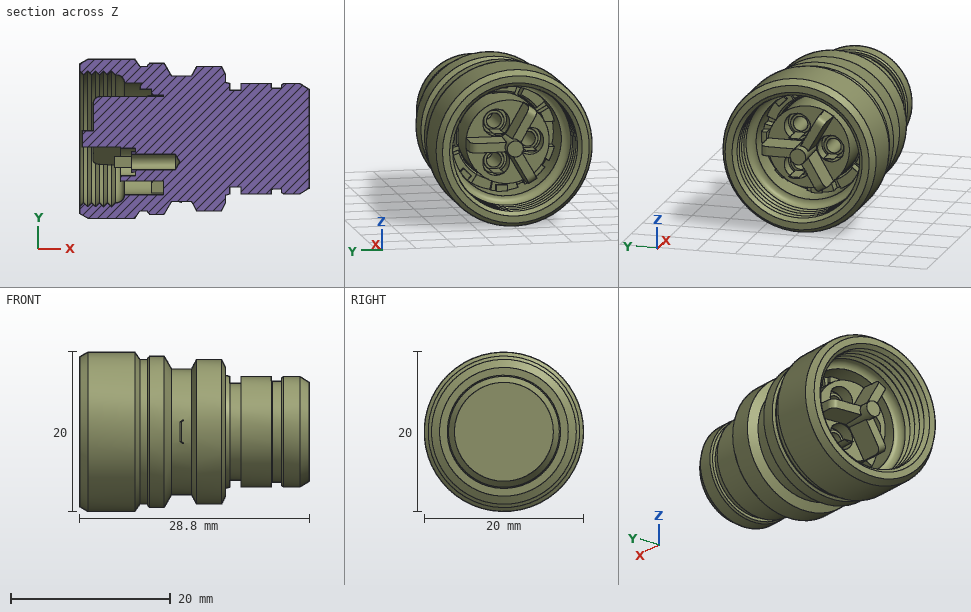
import cadquery as cq
import math

LENGTH = 28.8

NUT_RADIUS = 10.0
NUT_CHAMFER_RADIUS = 9.4
COLLAR_RADIUS = 9.08
BEAD_RADIUS = 9.5
WAIST_RADIUS = 7.9
LIP_RADIUS = 7.1
NECK_RADIUS = 6.1
TAIL_RADIUS = 6.95
TAIL_GROOVE_RADIUS = 6.35
TAIL_END_RADIUS = 6.2
BEAD_EDGE_RADIUS = 9.2
COLLAR_END_RADIUS = 8.07
TAIL_GROOVE_FILL_RADIUS = 6.45
TAIL_GROOVE_RIM_RADIUS = 6.75

NUT_START = 1.04
NUT_END = 6.92
COLLAR_START = 7.56
BEAD_FACE = 8.5
BEAD_START = 8.79
BEAD_END = 10.6
WAIST_START = 11.53
WAIST_END = 14.03
REAR_COLLAR_START = 14.67
REAR_COLLAR_END = 17.8
LIP_START = 18.3
NECK_START = 18.83
TAIL_START = 20.23
TAIL_GROOVE_START = 24.03
TAIL_GROOVE_FLOOR = 24.18
TAIL_GROOVE_END = 25.3
TAIL_RIM_START = 25.58
TAIL_CHAMFER_START = 27.6

THREAD_MAJOR_RADIUS = 8.5
THREAD_MINOR_RADIUS = 8.0
THREAD_PITCH = 1.0
THREAD_TURNS = 4
SEAT_ROUNDING = 1.0
SHOULDER = 5.6
SHOULDER_RADIUS = 7.15
CAVITY_RADIUS = 7.0
CAVITY_DEPTH = 10.5

DISC_RADIUS = 5.33
DISC_FRONT = 5.1
POST_RADIUS = 1.03
POST_FRONT = 0.3
RIB_FRONT = 1.7
RIB_FRONT_WIDTH = 1.2
RIB_ROOT_WIDTH = 1.45
RIB_CORNER_RADIUS = 0.9
RIB_ANGLES = (0, 120, 240)

RING_INNER_RADIUS = 5.5
RING_FRONT = 9.0
NARROW_RING_FRONT = 9.5
RING_LEAD_IN = 0.25
KEYWAY_WIDTH = 3.2
SEGMENT_SPANS = ((-11, 11), (20, 57), (79, 108), (116, 143), (151, 209),
                 (217, 244), (252, 281), (303, 340))
LOW_SEGMENT_SPANS = ((57, 79), (281, 303))
LUG_WIDTH = 1.4
LUG_INNER_RADIUS = 6.2
LUG_ANGLES = (45, 90, 270, 315)
LUG_FRONT = 8.6
KEY_LUG_FRONT = 7.6
KEY_LUG_ROUNDING = 0.5

CONTACT_CIRCLE_RADIUS = 2.9
CONTACT_ANGLES = (60, 180, 300)
EARTH_ANGLE = 180
EARTH_SETBACK = 0.85
SLEEVE_RADIUS = 1.72
CONTACT_RADIUS = 1.3
CONTACT_BORE_RADIUS = 0.95
CONTACT_TIP = 3.5
CONTACT_SHOULDER = 6.5
TONGUE_TOP = -1.1
CONTACT_BORE_END = 12.0
DRILL_POINT_LENGTH = 0.55
SLEEVE_RECESS_END = 7.0

MARK_X = 12.6
MARK_THICKNESS = 0.15
MARK_HALF_STEM = 1.2
MARK_HALF_HEIGHT = 1.45
MARK_HOOK = 0.3
MARK_RAISE = 0.08


def rod(radius, start, end, y=0.0, z=0.0):
    """Solid cylinder along X between two stations."""
    return cq.Workplane("YZ", origin=(start, y, z)).circle(radius).extrude(end - start)


def revolve_profile(points):
    """Turn an (x, radius) outline about the X axis."""
    return cq.Workplane("XY").polyline(points).close().revolve(360, (0, 0, 0), (1, 0, 0))


def polar(radius, angle):
    """(y, z) position; the angle runs from +Y towards +Z."""
    turn = math.radians(angle)
    return radius * math.cos(turn), radius * math.sin(turn)


def turned(shape, angle):
    return shape.rotate((0, 0, 0), (1, 0, 0), angle)


def shell_body():
    return revolve_profile([
        (0, 0),
        (0, NUT_CHAMFER_RADIUS),
        (NUT_START, NUT_RADIUS),
        (NUT_END, NUT_RADIUS),
        (COLLAR_START, COLLAR_RADIUS),
        (BEAD_FACE, COLLAR_RADIUS),
        (BEAD_FACE, BEAD_EDGE_RADIUS),
        (BEAD_START, BEAD_RADIUS),
        (BEAD_END, BEAD_RADIUS),
        (WAIST_START, WAIST_RADIUS),
        (WAIST_END, WAIST_RADIUS),
        (REAR_COLLAR_START, COLLAR_RADIUS),
        (REAR_COLLAR_END, COLLAR_RADIUS),
        (LIP_START, COLLAR_END_RADIUS),
        (LIP_START, LIP_RADIUS),
        (NECK_START, TAIL_RADIUS),
        (NECK_START, NECK_RADIUS),
        (TAIL_START, NECK_RADIUS),
        (TAIL_START, TAIL_RADIUS),
        (TAIL_GROOVE_START, TAIL_RADIUS),
        (TAIL_GROOVE_START, TAIL_GROOVE_FILL_RADIUS),
        (TAIL_GROOVE_FLOOR, TAIL_GROOVE_RADIUS),
        (TAIL_GROOVE_END, TAIL_GROOVE_RADIUS),
        (TAIL_GROOVE_END, TAIL_GROOVE_RIM_RADIUS),
        (TAIL_RIM_START, TAIL_RADIUS),
        (TAIL_CHAMFER_START, TAIL_RADIUS),
        (LENGTH, TAIL_END_RADIUS),
        (LENGTH, 0),
    ])


def bore():
    lead_in = THREAD_MAJOR_RADIUS - THREAD_MINOR_RADIUS
    outline = cq.Workplane("XY").moveTo(0, 0).lineTo(0, THREAD_MAJOR_RADIUS)
    outline = outline.lineTo(lead_in, THREAD_MINOR_RADIUS)
    for turn in range(1, THREAD_TURNS + 1):
        groove_end = lead_in + turn * THREAD_PITCH
        outline = outline.lineTo(groove_end - THREAD_PITCH / 2, THREAD_MAJOR_RADIUS)
        outline = outline.lineTo(groove_end, THREAD_MINOR_RADIUS)
    outline = outline.radiusArc((SHOULDER, SHOULDER_RADIUS), SEAT_ROUNDING)
    outline = outline.lineTo(SHOULDER, CAVITY_RADIUS)
    outline = outline.lineTo(CAVITY_DEPTH, CAVITY_RADIUS).lineTo(CAVITY_DEPTH, 0).close()
    return outline.revolve(360, (0, 0, 0), (1, 0, 0))


def rib():
    """Tapered rib reaching from the axis along +Y, with a rounded outer front corner."""
    front = RIB_FRONT_WIDTH / 2
    root = RIB_ROOT_WIDTH / 2
    blade = (
        cq.Workplane("XZ")
        .polyline([(RIB_FRONT, -front), (RIB_FRONT, front), (DISC_FRONT, root), (DISC_FRONT, -root)])
        .close()
        .extrude(-DISC_RADIUS)
    )
    return blade.faces(">Y").edges("<X").fillet(RIB_CORNER_RADIUS)


def insert():
    body = rod(DISC_RADIUS, DISC_FRONT, CAVITY_DEPTH).union(rod(POST_RADIUS, POST_FRONT, DISC_FRONT))
    for angle in RIB_ANGLES:
        body = body.union(turned(rib(), angle))
    return body


def ring_segment(front, start, end):
    """Ring sector with a bevelled inner front edge."""
    outline = [
        (front, CAVITY_RADIUS),
        (front, RING_INNER_RADIUS + RING_LEAD_IN),
        (front + RING_LEAD_IN, RING_INNER_RADIUS),
        (CAVITY_DEPTH, RING_INNER_RADIUS),
        (CAVITY_DEPTH, CAVITY_RADIUS),
    ]
    sector = cq.Workplane("XY").polyline(outline).close().revolve(end - start, (0, 0, 0), (1, 0, 0))
    return turned(sector, start)


def lug(front):
    height = CAVITY_RADIUS - LUG_INNER_RADIUS
    block = cq.Workplane("XY").box(CAVITY_DEPTH - front, height, LUG_WIDTH, centered=(False, False, True))
    return block.translate((front, LUG_INNER_RADIUS, 0))


def locking_ring():
    ring = None
    for start, end in SEGMENT_SPANS:
        segment = ring_segment(RING_FRONT, start, end)
        ring = segment if ring is None else ring.union(segment)
    keyway = cq.Workplane("XY").box(CAVITY_DEPTH, CAVITY_RADIUS, KEYWAY_WIDTH, centered=(False, False, True))
    ring = ring.cut(turned(keyway, EARTH_ANGLE))
    for start, end in LOW_SEGMENT_SPANS:
        ring = ring.union(ring_segment(NARROW_RING_FRONT, start, end))
    for angle in LUG_ANGLES:
        ring = ring.union(turned(lug(LUG_FRONT), angle))
    key_lug = lug(KEY_LUG_FRONT).faces(">Y").edges("<X").fillet(KEY_LUG_ROUNDING)
    return ring.union(key_lug)


def contact(tip, y, z):
    """Socket tube with a tongue reaching forward along its -Z side."""
    tube = rod(CONTACT_RADIUS, CONTACT_SHOULDER, SLEEVE_RECESS_END, y, z)
    width = 2 * CONTACT_RADIUS
    tongue_height = CONTACT_RADIUS + TONGUE_TOP
    slab = (
        cq.Workplane("XY")
        .box(CONTACT_SHOULDER - tip, width, tongue_height, centered=(False, True, False))
        .translate((tip, y, z - CONTACT_RADIUS))
    )
    tongue = rod(CONTACT_RADIUS, tip, CONTACT_SHOULDER, y, z).intersect(slab)
    return tube.union(tongue)


def contact_bore(y, z):
    straight = rod(CONTACT_BORE_RADIUS, 0, CONTACT_BORE_END, y, z)
    point = revolve_profile([
        (CONTACT_BORE_END, 0),
        (CONTACT_BORE_END, CONTACT_BORE_RADIUS),
        (CONTACT_BORE_END + DRILL_POINT_LENGTH, 0),
    ])
    return straight.union(point.translate((0, y, z)))


def fit_contacts(body):
    for angle in CONTACT_ANGLES:
        y, z = polar(CONTACT_CIRCLE_RADIUS, angle)
        tip = CONTACT_TIP + (EARTH_SETBACK if angle == EARTH_ANGLE else 0)
        body = body.cut(rod(SLEEVE_RADIUS, DISC_FRONT, SLEEVE_RECESS_END, y, z))
        body = body.union(contact(tip, y, z)).cut(contact_bore(y, z))
    return body


def bracket_mark():
    """Thin bracket standing proud of the waist on its -Y side."""
    inner = MARK_X + MARK_THICKNESS
    tip = MARK_X + MARK_HOOK
    outline = [
        (MARK_X, -MARK_HALF_STEM),
        (MARK_X, MARK_HALF_STEM),
        (tip, MARK_HALF_HEIGHT),
        (tip + MARK_THICKNESS, MARK_HALF_HEIGHT),
        (inner, MARK_HALF_STEM),
        (inner, -MARK_HALF_STEM),
        (tip + MARK_THICKNESS, -MARK_HALF_HEIGHT),
        (tip, -MARK_HALF_HEIGHT),
    ]
    bar = cq.Workplane("XZ").polyline(outline).close().extrude(NUT_RADIUS)
    band = rod(WAIST_RADIUS + MARK_RAISE, MARK_X, tip + MARK_THICKNESS)
    core = rod(WAIST_RADIUS - MARK_RAISE, MARK_X, tip + MARK_THICKNESS)
    return bar.intersect(band).cut(core)


result = shell_body().cut(bore()).union(insert()).union(locking_ring())
result = fit_contacts(result).union(bracket_mark())